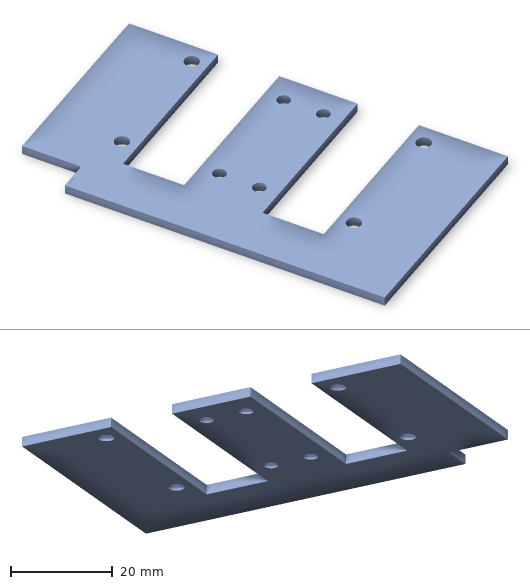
import cadquery as cq

length = 85.0
width = 50.0
thickness = 2.0

side_leg_width = 20.0
center_leg_width = 17.6
slot_depth = 38.6
slot_width = (length - center_leg_width) / 2 - side_leg_width
slot_offset = (center_leg_width + slot_width) / 2

notch_length = 13.3
notch_width = 6.6

side_hole_diameter = 3.2
side_hole_spacing_x = 52.0
side_hole_spacing_y = 28.3
side_hole_back_margin = 4.3

center_hole_diameter = 2.9
center_hole_spacing_x = 8.9
center_hole_spacing_y = 26.0
center_hole_back_margin = 6.0

back_y = width / 2


def through_holes(diameter, spacing_x, spacing_y, back_margin):
    """Four through holes in a rectangle, symmetric about the YZ plane."""
    center_y = back_y - back_margin - spacing_y / 2
    return (
        cq.Workplane("XY")
        .center(0, center_y)
        .rect(spacing_x, spacing_y, forConstruction=True)
        .vertices()
        .circle(diameter / 2)
        .extrude(thickness)
    )


plate = cq.Workplane("XY").rect(length, width).extrude(thickness)

slots = (
    cq.Workplane("XY")
    .pushPoints([(side * slot_offset, back_y - slot_depth / 2) for side in (-1, 1)])
    .rect(slot_width, slot_depth)
    .extrude(thickness)
)

notch = (
    cq.Workplane("XY")
    .moveTo(-length / 2, -width / 2)
    .rect(notch_length, notch_width, centered=False)
    .extrude(thickness)
)

side_holes = through_holes(
    side_hole_diameter, side_hole_spacing_x, side_hole_spacing_y, side_hole_back_margin
)
center_holes = through_holes(
    center_hole_diameter, center_hole_spacing_x, center_hole_spacing_y, center_hole_back_margin
)

result = plate.cut(slots).cut(notch).cut(side_holes).cut(center_holes)